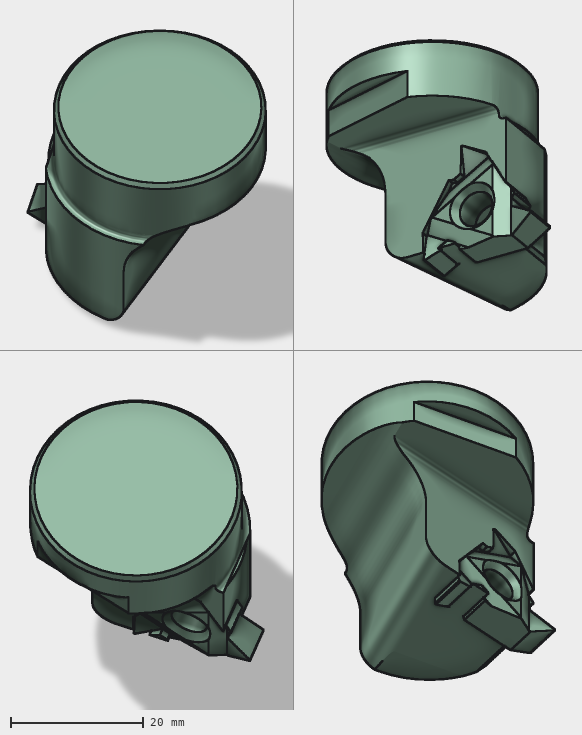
import cadquery as cq
import math

SEAT_ANGLE = 15.0
BIG = 74.48

head_diameter = 32.0
head_radius = head_diameter / 2
head_chamfer = 0.67
shank_radius = 17.28
cove_radius = 0.85
cove_top = -11.3
shank_top = cove_top - cove_radius
shank_bottom = -31.32
flat_u = -16.27
flat_chamfer = 0.6
relief_start_y = -12.65
relief_rise = 0.22

side_x = 3.3
side_arc_radius = 9.6
side_arc_top = -9.45
side_rim_top = -9.27
side_corner_radius = 3.85

pocket_v = 5.6
pocket_top = -9.95
pocket_fillet = 1.2
notch_y = 13.55
notch_top = -5.45

TOOTH_COUNT = 3
seat_v = -0.3
insert_top_v = 5.47
insert_u = -10.28
insert_z = -25.62
hole_diameter = 5.7
countersink_diameter = 7.82
countersink_depth = 1.1
tip_reach = 10.25
tip_high = -3.72
tip_low = -3.95
tooth_root = 6.33
notch_root = 6.25
notch_high = 0.07
notch_low = -1.3
bump_reach = 6.8
bump_height = 0.75
breaker_reach = 6.1
breaker_end_reach = 3.55

seat_opening_u = -14.15
seat_opening_top = -23.28


def turned(body):
    """Turn a body from the U, V, Z frame into X, Y, Z."""
    return body.rotate((0, 0, 0), (0, 0, 1), SEAT_ANGLE)


def block(low, high):
    """Box between two opposite corners."""
    sizes = [b - a for a, b in zip(low, high)]
    return cq.Workplane("XY").box(*sizes, centered=False).translate(low)


def seat_plane(v):
    """Plane across the insert axis, centred on the insert; local X is U and local Y is Z."""
    return cq.Plane(origin=(insert_u, v, insert_z), xDir=(1, 0, 0), normal=(0, -1, 0))


def turn_point(point, degrees):
    angle = math.radians(degrees)
    return (
        point[0] * math.cos(angle) - point[1] * math.sin(angle),
        point[0] * math.sin(angle) + point[1] * math.cos(angle),
    )


def insert_prism(top_v):
    """Insert outline raised from the seat to top_v."""
    tooth = [
        (-bump_reach, bump_height),
        (-notch_root, notch_high),
        (-notch_root, notch_low),
        (-tip_reach, tip_high),
        (-tip_reach, tip_low),
        (-tooth_root, -tooth_root),
    ]
    outline = []
    for index in range(TOOTH_COUNT):
        outline += [turn_point(point, index * 360 / TOOTH_COUNT) for point in tooth]
    return cq.Workplane(seat_plane(seat_v)).polyline(outline).close().extrude(seat_v - top_v)


def chip_breakers():
    """Rake faces that slope down from each tip, then ramp back up toward the hole."""
    fall = (tip_reach - breaker_reach) * math.tan(math.radians(SEAT_ANGLE))
    wedge = (
        cq.Workplane("XY")
        .polyline([
            (insert_u - tip_reach, insert_top_v),
            (insert_u - breaker_reach, insert_top_v - fall),
            (insert_u - breaker_end_reach, insert_top_v),
        ])
        .close()
        .extrude(BIG, both=True)
    )
    sector_angle = 180 / TOOTH_COUNT
    sector_points = [(0, 0), turn_point((-BIG, 0), sector_angle), turn_point((-BIG, 0), -sector_angle)]
    sector = cq.Workplane(seat_plane(seat_v)).polyline(sector_points).close().extrude(-BIG)
    breaker = wedge.intersect(sector)
    axis_start = (insert_u, 0, insert_z)
    axis_end = (insert_u, 1, insert_z)
    return [breaker.rotate(axis_start, axis_end, i * 360 / TOOTH_COUNT) for i in range(TOOTH_COUNT)]


def make_insert():
    body = insert_prism(insert_top_v)
    for breaker in chip_breakers():
        body = body.cut(breaker)
    hole = cq.Workplane(seat_plane(insert_top_v)).circle(hole_diameter / 2).extrude(insert_top_v - seat_v)
    countersink = (
        cq.Workplane(seat_plane(insert_top_v))
        .circle(countersink_diameter / 2)
        .workplane(offset=countersink_depth)
        .circle(hole_diameter / 2)
        .loft()
    )
    return turned(body.cut(hole).cut(countersink))


def turned_blank():
    """Head, cove and shank as one revolved blank."""
    cove_mid = cove_radius * (1 - math.sqrt(0.5))
    return (
        cq.Workplane("XZ")
        .lineTo(head_radius - head_chamfer, 0)
        .lineTo(head_radius, -head_chamfer)
        .lineTo(head_radius, cove_top)
        .threePointArc(
            (head_radius + cove_mid, shank_top + cove_mid),
            (head_radius + cove_radius, shank_top),
        )
        .lineTo(shank_radius, shank_top)
        .lineTo(shank_radius, shank_bottom)
        .lineTo(0, shank_bottom)
        .close()
        .revolve(360, (0, 0, 0), (0, 1, 0))
    )


def side_clearance():
    """Curved cut that leaves the shank narrow on the +X side."""
    corner_x = side_x - side_corner_radius
    arc_x = side_x + side_arc_radius
    arc_z = side_arc_top - side_arc_radius
    diagonal = math.sqrt(0.5)
    return (
        cq.Workplane("XZ")
        .moveTo(corner_x, shank_bottom)
        .threePointArc(
            (
                corner_x + side_corner_radius * diagonal,
                shank_bottom + side_corner_radius * (1 - diagonal),
            ),
            (side_x, shank_bottom + side_corner_radius),
        )
        .lineTo(side_x, arc_z)
        .threePointArc(
            (arc_x - side_arc_radius * diagonal, arc_z + side_arc_radius * diagonal),
            (arc_x, side_arc_top),
        )
        .lineTo(head_radius, side_rim_top)
        .lineTo(BIG, side_rim_top)
        .lineTo(BIG, -BIG)
        .lineTo(corner_x, -BIG)
        .close()
        .extrude(BIG, both=True)
    )


def chip_pocket():
    """Open space in front of the insert, with a rounded inner corner."""
    pocket = block((-BIG, pocket_v, -BIG), (BIG, BIG, pocket_top))
    return turned(pocket.edges("|X and <Y and >Z").fillet(pocket_fillet))


def rear_notch():
    return block((-BIG, notch_y, -BIG), (BIG, BIG, notch_top))


def shank_flat():
    """Flat beside the insert, with a chamfer along its lower edge."""
    flat = (
        cq.Workplane("XZ")
        .polyline([
            (-BIG, shank_top),
            (flat_u, shank_top),
            (flat_u, shank_bottom + flat_chamfer),
            (flat_u + flat_chamfer, shank_bottom),
            (-BIG, shank_bottom),
        ])
        .close()
        .extrude(BIG, both=True)
    )
    return turned(flat)


def bottom_relief():
    """Shallow slope rising toward the -Y side of the shank bottom."""
    return (
        cq.Workplane("YZ")
        .polyline([
            (relief_start_y, shank_bottom),
            (-shank_radius, shank_bottom + relief_rise),
            (-shank_radius, shank_bottom),
        ])
        .close()
        .extrude(BIG, both=True)
    )


def insert_seat():
    """Recess matching the insert, open toward the cutting tooth."""
    opening = block((-BIG, seat_v, -BIG), (seat_opening_u, BIG, seat_opening_top))
    return turned(insert_prism(BIG).union(opening))


def make_holder():
    return (
        turned_blank()
        .cut(shank_flat())
        .cut(side_clearance())
        .cut(chip_pocket())
        .cut(rear_notch())
        .cut(bottom_relief())
        .cut(insert_seat())
    )


holder = make_holder()
insert = make_insert()

result = cq.Compound.makeCompound([holder.val(), insert.val()])